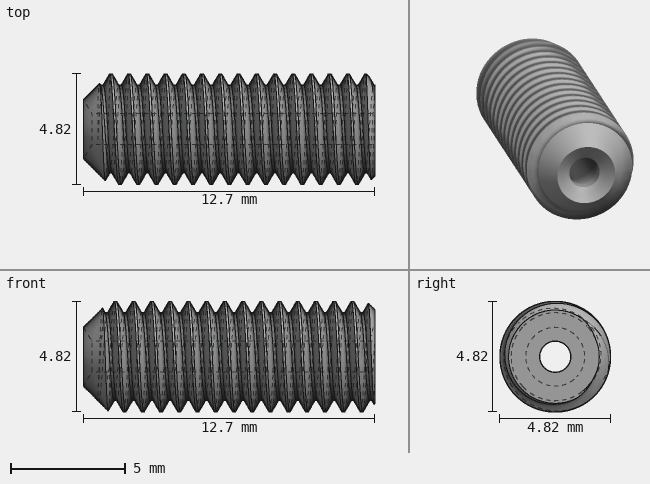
import cadquery as cq
import math

length = 12.7
major_radius = 2.41
bore_radius = 0.67

rim_radius = 1.28
cup_depth = 0.38

end_radius = 2.03

pitch = 0.794
thread_depth = 0.5
flank_angle = math.radians(30)
crest_flat = pitch / 8
first_crest = 1.4
root_radius = major_radius - thread_depth
lead_turns = 3.5
thread_turns = math.ceil(length / pitch) + lead_turns

root_overlap = 0.06
envelope_margin = 0.25
core_margin = 2.54


def make_core():
    """Plain cylinder at the thread root, longer than the screw at both ends."""
    return (
        cq.Workplane("YZ", origin=(-core_margin, 0, 0))
        .circle(root_radius)
        .extrude(length + 2 * core_margin)
    )


def make_ridge():
    """Sweep the trapezoidal thread ridge along a helix about X."""
    crest_half = crest_flat / 2
    base_radius = root_radius - root_overlap
    base_half = crest_half + (major_radius - base_radius) * math.tan(flank_angle)

    helix = cq.Workplane(obj=cq.Wire.makeHelix(pitch, pitch * thread_turns, root_radius))
    ridge = (
        cq.Workplane("XZ")
        .moveTo(base_radius, -base_half)
        .lineTo(major_radius, -crest_half)
        .lineTo(major_radius, crest_half)
        .lineTo(base_radius, base_half)
        .close()
        .sweep(helix, isFrenet=True)
    )
    ridge = ridge.rotate((0, 0, 0), (0, 1, 0), 90)
    return ridge.translate((first_crest - lead_turns * pitch, 0, 0))


def make_envelope():
    """Revolve the body that gives the bore, the cup point and both 45 degree edges."""
    outer_radius = major_radius + envelope_margin
    return (
        cq.Workplane("XY")
        .moveTo(cup_depth, bore_radius)
        .lineTo(0, rim_radius)
        .lineTo(outer_radius - rim_radius, outer_radius)
        .lineTo(length - (outer_radius - end_radius), outer_radius)
        .lineTo(length, end_radius)
        .lineTo(length, bore_radius)
        .close()
        .revolve(360, (0, 0, 0), (1, 0, 0))
    )


threaded_rod = make_core().union(make_ridge())
result = threaded_rod.intersect(make_envelope())